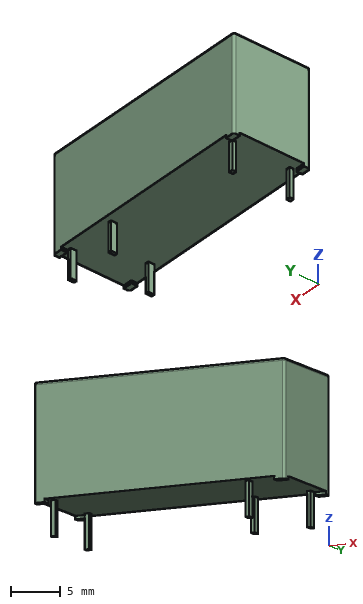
import cadquery as cq

length = 28.5
width = 10.12
total_height = 15.9
edge_radius = 0.28

foot_length = 1.23
foot_width = 0.8
foot_height = 0.35

pin_drop = 3.4
row_spacing = 7.6
coil_pin_size = 0.5
contact_pin_thickness = 0.4
contact_pin_width = 0.8
coil_pin_inset = 1.68
contact_pin_inset = 1.5
contact_pitch = 3.2

housing_height = total_height - pin_drop
recess_z = foot_height
pin_bottom_z = -pin_drop
pin_overlap = 0.28


def centred_box(x_size, y_size, bottom_z, top_z, x=0, y=0):
    """Box centred on (x, y) that spans bottom_z to top_z."""
    return cq.Workplane("XY", origin=(x, y, bottom_z)).rect(x_size, y_size).extrude(top_z - bottom_z)


def make_housing():
    """Block with rounded upright and top edges, standing on corner feet."""
    block = centred_box(length, width, 0, housing_height)
    block = block.edges("|Z or >Z").fillet(edge_radius)
    lengthwise_recess = centred_box(length, width - 2 * foot_width, 0, recess_z)
    crosswise_recess = centred_box(length - 2 * foot_length, width, 0, recess_z)
    return block.cut(lengthwise_recess).cut(crosswise_recess)


def make_pin(x, y, thickness, pin_width):
    """Rectangular pin centred on (x, y), hanging from inside the housing."""
    return centred_box(thickness, pin_width, pin_bottom_z, recess_z + pin_overlap, x, y)


front_row_y = -row_spacing / 2
back_row_y = row_spacing / 2

result = make_housing()

coil_x = -length / 2 + coil_pin_inset
for coil_y in (front_row_y, back_row_y):
    result = result.union(make_pin(coil_x, coil_y, coil_pin_size, coil_pin_size))

contact_rows = (back_row_y, front_row_y, back_row_y)
for column, contact_y in enumerate(contact_rows):
    contact_x = length / 2 - contact_pin_inset - column * contact_pitch
    result = result.union(make_pin(contact_x, contact_y, contact_pin_thickness, contact_pin_width))